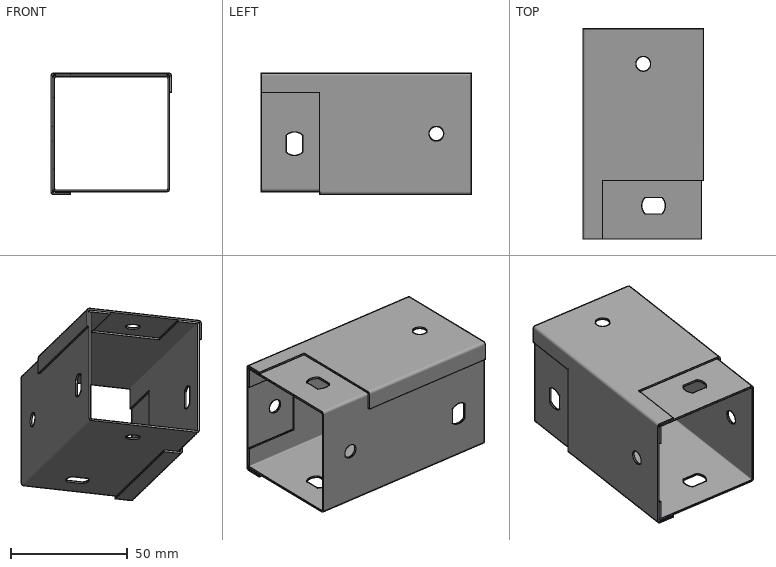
import cadquery as cq

length = 90.0
sheet = 0.8
tube_side = 49.95
bottom_gap = 0.45
wrapper_bend = 1.3
tube_bend = 1.3
lip = 8.3
notch_length = 25.0

hole_diameter = 6.2
hole_inset = 15.0
slot_length = 10.0
slot_width = 6.9
slot_inset = 14.3
slot_offset = 4.4

relief_width = 30.6
relief_length = notch_length

width = tube_side + 2 * sheet
height = width + bottom_gap
tube_middle = sheet + tube_side / 2


def box(x_range, y_range, z_range):
    """Axis-aligned block between the given limits."""
    (x0, x1), (y0, y1), (z0, z1) = x_range, y_range, z_range
    return cq.Workplane("XY").box(x1 - x0, y1 - y0, z1 - z0, centered=False).translate((x0, y0, z0))


def rounded_bar(x_range, z_range, radius):
    """Full-length bar with its four long edges rounded."""
    return box(x_range, (0, length), z_range).edges("|Y").fillet(radius)


def hollow_bar(x_range, z_range, bend):
    """Full-length sheet tube with bent corners."""
    (x0, x1), (z0, z1) = x_range, z_range
    inside = rounded_bar((x0 + sheet, x1 - sheet), (z0 + sheet, z1 - sheet), bend - sheet)
    return rounded_bar(x_range, z_range, bend).cut(inside)


def round_hole(middle):
    """Vertical cutter centred at X = middle, through top and bottom walls at the back end."""
    return (
        cq.Workplane("XY", origin=(middle, length - hole_inset, -height))
        .circle(hole_diameter / 2)
        .extrude(height)
    )


def slot():
    """Vertical cutter for the flat-sided slots, at the front end."""
    start = cq.Workplane("XY", origin=(tube_middle + slot_offset, slot_inset, -height))
    flats = start.rect(slot_length, slot_width).extrude(height)
    return start.circle(slot_length / 2).extrude(height).intersect(flats)


def relief():
    """Opening in the tube's top wall, at the back end."""
    half_width = relief_width / 2
    return box(
        (tube_middle - half_width, tube_middle + half_width),
        (length - relief_length, length),
        (-2 * sheet, -sheet),
    )


def wrapper_notch():
    """Cutter for the top wall and right lip at the front end, leaving a strip at the left."""
    return box((lip, height), (0, notch_length), (-height / 2, 0))


def swapped(cutter):
    """Turns a top-wall cutter into the matching left-wall one at the opposite end.

    A half turn about the line X = -Z at mid length maps the top wall to the left wall.
    """
    middle = length / 2
    return cutter.rotate((0, middle, 0), (0.9, middle, -0.9), 180)


def cut_both_ways(body, cutter):
    """Cuts a feature for the top wall and its counterpart for the left wall."""
    return body.cut(cutter).cut(swapped(cutter))


def make_tube():
    """Closed square tube with crossing holes, slots and reliefs."""
    tube = hollow_bar((sheet, sheet + tube_side), (-sheet - tube_side, -sheet), tube_bend)
    for cutter in (round_hole(tube_middle), slot(), relief()):
        tube = cut_both_ways(tube, cutter)
    return tube


def make_wrapper():
    """Angle sheet over the tube's top and left walls, with a lip along each free edge."""
    wrapper = hollow_bar((0, width), (-height, 0), wrapper_bend)
    open_side = box((lip, width), (0, length), (-height, -lip))
    wrapper = wrapper.cut(open_side)
    wrapper = cut_both_ways(wrapper, wrapper_notch())
    top_hole = round_hole(width / 2)
    left_hole = swapped(round_hole(height / 2))
    return wrapper.cut(top_hole).cut(left_hole)


tube = make_tube()
wrapper = make_wrapper()
result = cq.Compound.makeCompound([tube.solids().val(), wrapper.solids().val()])